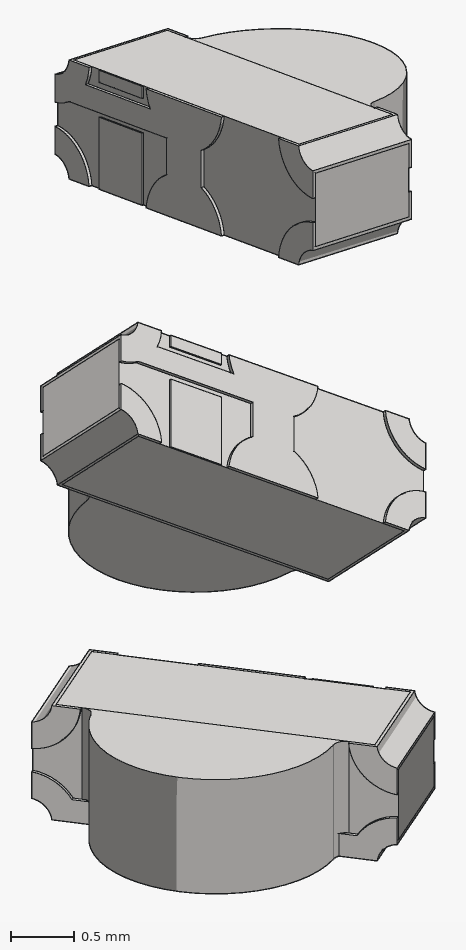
import cadquery as cq
import math

length = 3.0
height = length / 3
depth = height
half_length = length / 2

lens_radius = length / 3
lens_foot_radius = lens_radius / 10

scoop_offset = 0.025
core_scoop_reach = 0.192
pad_scoop_reach = 0.165

pad_thickness = 0.03
corner_pad_reach = 0.4
corner_pad_offset = 0.035
lobe_radius = 0.44
lobe_offset = 0.048
column_width = 0.405
band_bottom = 0.65
band_top = height - 0.155
back_strip_height = corner_pad_reach / 2

mark_thickness = 0.015
mark_left = -length / 3
mark_right = -length / 6
lower_mark_height = 0.605
upper_mark_height = 0.102


def block(x_min, x_max, y_min, y_max, z_min, z_max):
    """Box given by its limits along each axis."""
    size = (x_max - x_min, y_max - y_min, z_max - z_min)
    return cq.Workplane("XY").box(*size, centered=False).translate((x_min, y_min, z_min))


def rod(x, z, radius, y_min, y_max):
    """Cylinder running along Y."""
    plane = cq.Workplane("XZ", origin=(0, y_min, 0))
    return plane.center(x, z).circle(radius).extrude(y_min - y_max)


def envelope(y_min, y_max):
    """Full length and height of the package between two Y positions."""
    return block(-half_length, half_length, y_min, y_max, 0, height)


def scoop(x_side, z_side, reach):
    """Cutter for one corner, meeting the package edges at the given reach."""
    radius = math.hypot(reach + scoop_offset, scoop_offset)
    x = x_side * (half_length + scoop_offset)
    z = height / 2 + z_side * (height / 2 + scoop_offset)
    return rod(x, z, radius, -pad_thickness, depth + pad_thickness)


def make_core():
    core = envelope(0, depth)
    for x_side in (-1, 1):
        for z_side in (-1, 1):
            core = core.cut(scoop(x_side, z_side, core_scoop_reach))
    return core


def make_lens():
    """Half disc with concave feet that end tangent to the core's back face."""
    foot_x = math.sqrt((lens_radius + lens_foot_radius) ** 2 - lens_foot_radius ** 2)
    tangent_ratio = lens_radius / (lens_radius + lens_foot_radius)
    tangent_x = foot_x * tangent_ratio
    tangent_y = lens_foot_radius * tangent_ratio
    start_angle = math.atan2(tangent_y - lens_foot_radius, tangent_x - foot_x) % (2 * math.pi)
    middle_angle = (start_angle + 1.5 * math.pi) / 2
    middle_x = foot_x + lens_foot_radius * math.cos(middle_angle)
    middle_y = lens_foot_radius * (1 + math.sin(middle_angle))
    return (
        cq.Workplane("XY", origin=(0, depth, 0))
        .moveTo(-foot_x, 0)
        .threePointArc((-middle_x, middle_y), (-tangent_x, tangent_y))
        .threePointArc((0, lens_radius), (tangent_x, tangent_y))
        .threePointArc((middle_x, middle_y), (foot_x, 0))
        .close()
        .extrude(height)
    )


def make_corner_pad(x_side, z_side):
    """Front and back quarter pads joined by the plating of the corner scoop."""
    x = x_side * (half_length + corner_pad_offset)
    z = height / 2 + z_side * (height / 2 + corner_pad_offset)
    radius = math.hypot(corner_pad_reach + corner_pad_offset, corner_pad_offset)
    front = rod(x, z, radius, -pad_thickness, 0)
    back = rod(x, z, radius, depth, depth + pad_thickness)
    plating = scoop(x_side, z_side, core_scoop_reach)
    pad = plating.union(front).union(back)
    pad = pad.intersect(envelope(-pad_thickness, depth + pad_thickness))
    return pad.cut(scoop(x_side, z_side, pad_scoop_reach))


def make_central_contact():
    """Column with a wide rounded lobe at each end, on the front face."""
    half_column = column_width / 2
    contact = block(-half_column, half_column, -pad_thickness, 0, 0, height)
    for z in (-lobe_offset, height + lobe_offset):
        contact = contact.union(rod(0, z, lobe_radius, -pad_thickness, 0))
    return contact.intersect(envelope(-pad_thickness, 0))


def make_contact_pad():
    """Upper left corner pad, extended by a band to the central contact."""
    band_start = -half_length + pad_scoop_reach
    band = block(band_start, 0, -pad_thickness, 0, band_bottom, band_top)
    return make_corner_pad(-1, 1).union(band).union(make_central_contact())


def make_back_strip():
    """Copper strip along the bottom of the back face, passing under the lens."""
    strip_end = half_length - pad_scoop_reach
    return block(-strip_end, strip_end, depth, depth + pad_thickness,
                 0, back_strip_height)


def make_lower_pad():
    """Both lower corner pads, joined by the back strip."""
    return make_corner_pad(-1, -1).union(make_back_strip()).union(make_corner_pad(1, -1))


def make_mark(z_min, z_max):
    return block(mark_left, mark_right, -mark_thickness, 0, z_min, z_max)


core = make_core()
lens = make_lens().cut(make_back_strip())
contact_pad = make_contact_pad()
lower_pad = make_lower_pad()
upper_right_pad = make_corner_pad(1, 1)
mark_spans = [(0, lower_mark_height), (height - upper_mark_height, height)]
marks = [make_mark(z_min, z_max) for z_min, z_max in mark_spans]

result = cq.Compound.makeCompound([
    core.val(),
    lens.val(),
    contact_pad.val(),
    lower_pad.val(),
    upper_right_pad.val(),
    *[mark.val() for mark in marks],
])